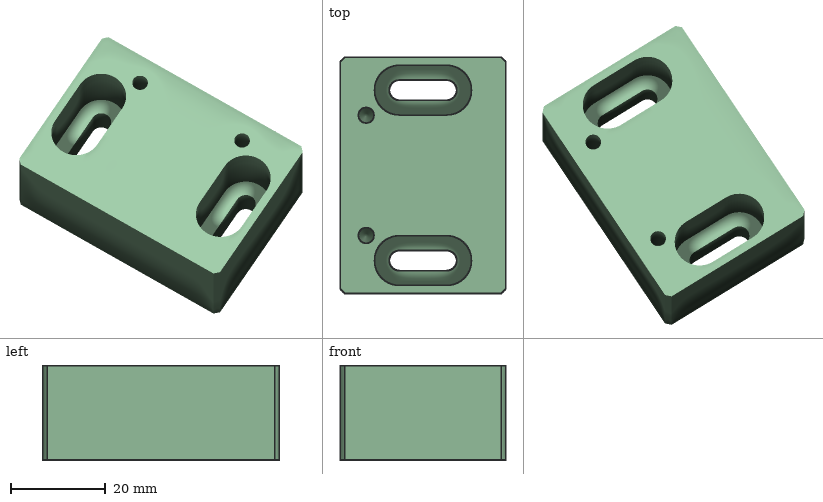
import cadquery as cq

width = 35.0
length = 50.0
height = 20.0
corner_chamfer = 1.0

slot_offset = 18.0
slot_length = 14.2
slot_width = 4.2
recess_length = 20.5
recess_width = 10.5
recess_depth = 13.0

hole_x = -12.0
hole_offset = 12.7
hole_diameter = 3.3
hole_depth = 10.0
drill_tip_height = 1.0


def make_block():
    block = cq.Workplane("XY").box(width, length, height, centered=(True, True, False))
    return block.edges("|Z").chamfer(corner_chamfer)


def counterbored_slot(y):
    through_slot = cq.Workplane("XY").center(0, y).slot2D(slot_length, slot_width).extrude(height)
    recess = (
        cq.Workplane("XY", origin=(0, y, height - recess_depth))
        .slot2D(recess_length, recess_width)
        .extrude(recess_depth)
    )
    return through_slot.union(recess)


def drilled_hole(y):
    radius = hole_diameter / 2
    return (
        cq.Workplane("XZ", origin=(hole_x, y, height))
        .lineTo(radius, 0)
        .lineTo(radius, -hole_depth)
        .lineTo(0, -hole_depth - drill_tip_height)
        .close()
        .revolve(360, (0, 0, 0), (0, 1, 0))
    )


result = make_block()
for side in (-1, 1):
    result = result.cut(counterbored_slot(side * slot_offset))
    result = result.cut(drilled_hole(side * hole_offset))